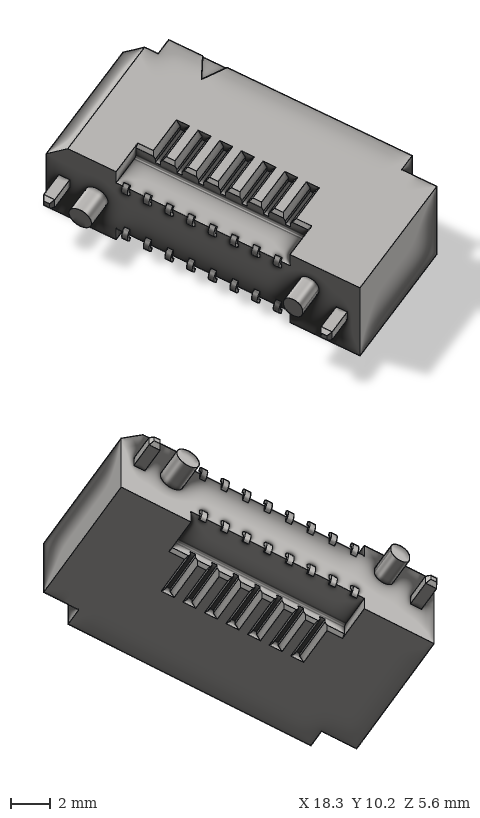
import cadquery as cq
import math


WIDTH = 18.34
HEIGHT = 5.6
DEPTH = 8.51
EDGE_CHAMFER = 1.27
SHOULDER_WIDTH = 2.05
SHOULDER_DEPTH = 1.03

PITCH = 1.27
CONTACT_COUNT = 8
SLOT_COUNT = CONTACT_COUNT - 1

RECESS_WIDTH = 10.16
RECESS_LENGTH = 1.93
RECESS_DEPTH = 0.92
RECESS_BEVEL = 0.18
RECESS_FILLET = 0.17

SLOT_END = 4.36
SLOT_DEPTH = 0.62
SLOT_FLARE_DEPTH = 0.37
SLOT_TOP_WIDTH = 0.75
SLOT_FLOOR_WIDTH = 0.3

CONTACT_WIDTH = 0.33
LOOP_RADIUS = 0.51
LOOP_THICKNESS = 0.18
LOOP_REACH = 0.28
LOOP_HEIGHT = 1.87
LOOP_TIP_ANGLE = 56.0
LOOP_ROOT_ANGLE = -75.0

PEG_DIAMETER = 1.32
PEG_LENGTH = 1.6
PEG_X = 6.22
OVAL_PEG_WIDTH = 1.1
OVAL_PEG_HEIGHT = 1.32
OVAL_PEG_Z = 0.99

PIN_X = 8.1
PIN_SIZE = 0.65
PIN_TIP_SIZE = 0.35
PIN_LENGTH = 1.72
PIN_TIP_LENGTH = 0.25

MARK_WIDTH = 1.43
MARK_LENGTH = 1.3
MARK_DEPTH = 0.1
MARK_DRAFT = 15.0
MARK_OVERHANG = 0.18

TOP = HEIGHT / 2


def row_positions(count):
    """X positions of evenly pitched features centred on the housing."""
    return [(index - (count - 1) / 2) * PITCH for index in range(count)]


def make_block():
    """Stepped block with one long upper edge chamfered."""
    half_width = WIDTH / 2
    back_half_width = half_width - SHOULDER_WIDTH
    shoulder_y = DEPTH - SHOULDER_DEPTH
    block = (
        cq.Workplane("XY", origin=(0, 0, -TOP))
        .moveTo(-half_width, 0)
        .lineTo(half_width, 0)
        .lineTo(half_width, shoulder_y)
        .lineTo(back_half_width, shoulder_y)
        .lineTo(back_half_width, DEPTH)
        .lineTo(-back_half_width, DEPTH)
        .lineTo(-back_half_width, shoulder_y)
        .lineTo(-half_width, shoulder_y)
        .close()
        .extrude(HEIGHT)
    )
    return block.edges("|Y and <X and >Z").chamfer(EDGE_CHAMFER)


def make_recess():
    """Upper front recess, with its back wall bevelled at the top and filleted into the floor."""
    floor_z = TOP - RECESS_DEPTH
    return (
        cq.Workplane("YZ")
        .moveTo(0, floor_z)
        .lineTo(RECESS_LENGTH - RECESS_FILLET, floor_z)
        .radiusArc((RECESS_LENGTH, floor_z + RECESS_FILLET), -RECESS_FILLET)
        .lineTo(RECESS_LENGTH, TOP - RECESS_BEVEL)
        .lineTo(RECESS_LENGTH + RECESS_BEVEL, TOP)
        .lineTo(0, TOP)
        .close()
        .extrude(RECESS_WIDTH / 2, both=True)
    )


def make_slot(x):
    """Upper comb slot: straight at the floor and flared towards the top."""
    half_top = SLOT_TOP_WIDTH / 2
    half_floor = SLOT_FLOOR_WIDTH / 2
    return (
        cq.Workplane("XZ", origin=(x, 0, TOP))
        .moveTo(-half_top, 0)
        .lineTo(-half_floor, -SLOT_FLARE_DEPTH)
        .lineTo(-half_floor, -SLOT_DEPTH)
        .lineTo(half_floor, -SLOT_DEPTH)
        .lineTo(half_floor, -SLOT_FLARE_DEPTH)
        .lineTo(half_top, 0)
        .close()
        .extrude(-SLOT_END)
    )


def make_mark(x):
    """Shallow triangle with drafted walls, open at the back edge, that points at the first contact."""
    overhang_scale = (MARK_LENGTH + MARK_OVERHANG) / MARK_LENGTH
    half_width = overhang_scale * MARK_WIDTH / 2
    return (
        cq.Workplane("XY", origin=(x, DEPTH, TOP))
        .moveTo(-half_width, MARK_OVERHANG)
        .lineTo(half_width, MARK_OVERHANG)
        .lineTo(0, -MARK_LENGTH)
        .close()
        .extrude(-MARK_DEPTH, taper=MARK_DRAFT)
    )


def make_contact(x):
    """Upper contact: a bent strip that rises from the front face and curls over the recess."""
    inner_radius = LOOP_RADIUS - LOOP_THICKNESS

    def arc_point(radius, angle):
        """Point on a loop arc, at an angle above the direction towards -Y."""
        turn = math.radians(angle)
        return (-radius * math.cos(turn), radius * math.sin(turn))

    return (
        cq.Workplane("YZ", origin=(x, LOOP_RADIUS - LOOP_REACH, LOOP_HEIGHT))
        .moveTo(*arc_point(LOOP_RADIUS, LOOP_TIP_ANGLE))
        .threePointArc(arc_point(LOOP_RADIUS, 0), arc_point(LOOP_RADIUS, LOOP_ROOT_ANGLE))
        .lineTo(*arc_point(inner_radius, LOOP_ROOT_ANGLE))
        .threePointArc(arc_point(inner_radius, 0), arc_point(inner_radius, LOOP_TIP_ANGLE))
        .close()
        .extrude(CONTACT_WIDTH / 2, both=True)
    )


def make_round_peg():
    return (
        cq.Workplane("XZ", origin=(-PEG_X, 0, 0))
        .circle(PEG_DIAMETER / 2)
        .extrude(PEG_LENGTH)
    )


def make_oval_peg():
    """Upright peg with rounded ends and two narrow side flats."""
    return (
        cq.Workplane("XZ", origin=(PEG_X, 0, OVAL_PEG_Z))
        .slot2D(OVAL_PEG_HEIGHT, OVAL_PEG_WIDTH, 90)
        .extrude(PEG_LENGTH)
    )


def make_housing():
    contact_positions = row_positions(CONTACT_COUNT)
    body = make_block()

    cutters = [make_recess()]
    cutters += [make_slot(x) for x in row_positions(SLOT_COUNT)]
    for cutter in cutters:
        body = body.cut(cutter)
        body = body.cut(cutter.mirror("XY"))
    body = body.cut(make_mark(contact_positions[0]))

    for x in contact_positions:
        contact = make_contact(x)
        body = body.union(contact)
        body = body.union(contact.mirror("XY"))

    body = body.union(make_round_peg())
    return body.union(make_oval_peg())


def make_pin(x):
    """Square pin with a tapered tip, standing on the housing's front face."""
    shank_length = PIN_LENGTH - PIN_TIP_LENGTH
    return (
        cq.Workplane("XZ", origin=(x, 0, 0))
        .rect(PIN_SIZE, PIN_SIZE)
        .extrude(shank_length)
        .faces("<Y")
        .workplane()
        .rect(PIN_SIZE, PIN_SIZE)
        .workplane(offset=PIN_TIP_LENGTH)
        .rect(PIN_TIP_SIZE, PIN_TIP_SIZE)
        .loft(combine=True)
    )


housing = make_housing()
pins = [make_pin(x) for x in (-PIN_X, PIN_X)]

result = cq.Compound.makeCompound([housing.val(), *[pin.val() for pin in pins]])